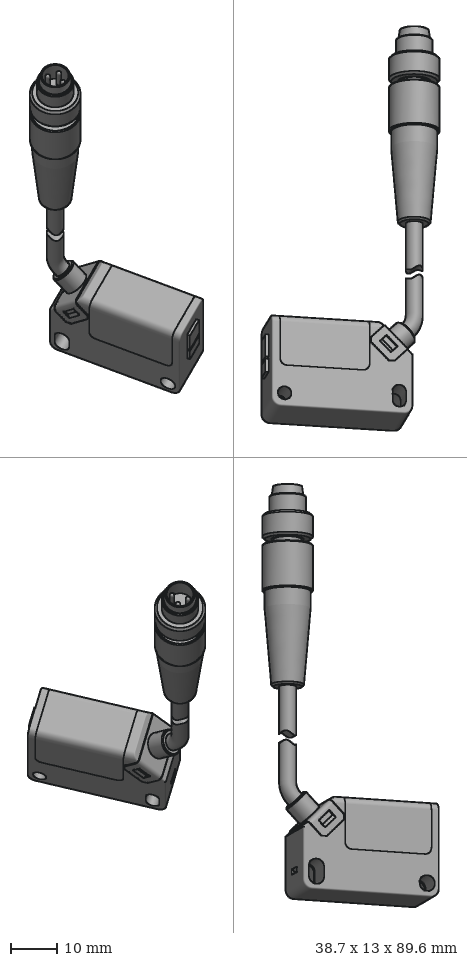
import cadquery as cq
import math


case_left = 1.5
case_length = 31.0
case_height = 21.0
case_width = 12.45
case_right = case_left + case_length
bottom_corner_radius = 2.0
top_edge_radius = 1.7
edge_radius = 0.4

wide_diameter = 3.5
narrow_diameter = 3.0
hole_x, hole_z = 29.7, 3.0
slot_x, slot_z = 4.5, 3.9
slot_spacing = 2.1

notch_width = 3.05
notch_height = 1.25
notch_depth = 0.7
notch_z = 5.0

pad_spans = [(8.9, 11.8), (12.4, 17.4)]
pad_width = 4.7
pad_rise = 0.67

cover_left, cover_right = 11.0, 30.7
cover_bottom = 9.3
cover_corner_radius = 1.5

outlet_angle = 45
outlet_height = 22.5
corner_cut_reach = 7.3
gland_reach = 7.1
gland_depth = 5.3
gland_span = 7.25
gland_width = 13.0
gland_inner_chamfer = 0.9
gland_edge_radius = 1.1
sleeve_diameter = 5.7
sleeve_length = 4.6
sleeve_tip_chamfer = 0.3
latch_length = 3.4
latch_height = 2.1
latch_ramp = 0.8
latch_depth = 0.45
latch_inset = 1.6

cable_diameter = 3.8
cable_bend_radius = 5.0
break_low, break_high = 32.9, 34.9
wave_crest, wave_trough = 0.5, -0.4

boot_bottom, boot_shoulder = 45.5, 62.7
grip_bottom, grip_top = 66.5, 76.8
nut_bottom, nut_top = 78.0, 83.5
thread_top = 87.5
plug_top = 89.6
boot_tip_diameter = 7.2
boot_chamfer = 0.45
boot_diameter = 10.0
grip_diameter = 11.0
grip_chamfer = 0.3
neck_diameter = 6.0
core_diameter = 7.0
mouth_diameter = 6.4
bore_diameter = 5.7
bore_floor = 84.6

nut_diameter = grip_diameter
nut_chamfer = 0.5
thread_diameter = 8.0
thread_chamfer = 0.3

pin_diameter = 1.1
pin_top = 88.8
pin_tip_radius = 0.53
pin_circle_radius = 1.8
pin_angles = [0, 90, 180]


def outlet_frame(reach):
    """Plane across the gland axis, `reach` below the plug axis; its normal points out along the axis."""
    slope = math.radians(outlet_angle)
    origin = (reach * math.cos(slope), 0, outlet_height - reach * math.sin(slope))
    return cq.Plane(origin=origin, xDir=(0, 1, 0), normal=(-math.cos(slope), 0, math.sin(slope)))


def xz_sketch():
    return cq.Workplane("XZ")


def through_y(sketch, width):
    """Extrude an XZ sketch symmetrically about the XZ plane."""
    return sketch.extrude(width / 2, both=True)


def revolve_profile(points):
    """Solid of revolution about Z from (radius, height) points."""
    return xz_sketch().polyline(points).close().revolve(360, (0, 0, 0), (0, 1, 0))


def make_case_envelope():
    """Outer shape of the case and cover together."""
    block = xz_sketch().rect(case_length, case_height, centered=False)
    body = through_y(block, case_width).translate((case_left, 0, 0))
    body = body.edges("|Y and <Z").fillet(bottom_corner_radius)
    body = body.edges("|X and >Z").fillet(top_edge_radius)
    corner = cq.Workplane(outlet_frame(corner_cut_reach)).rect(4 * case_width, 4 * case_width)
    body = body.cut(corner.extrude(case_height))
    return body.faces("<Y or >Y or >X").edges("not(#Y and #Z and (not <Z))").fillet(edge_radius)


def make_cover_block():
    outline = xz_sketch().rect(cover_right - cover_left, case_height - cover_bottom, centered=False)
    block = through_y(outline, case_width).translate((cover_left, 0, cover_bottom))
    return block.edges("|Y and <Z").fillet(cover_corner_radius)


def make_gland_block():
    block = cq.Workplane(outlet_frame(gland_reach)).rect(gland_width, gland_span).extrude(-gland_depth)
    inward = -outlet_frame(gland_reach).zDir
    inner_face = block.faces(cq.selectors.DirectionMinMaxSelector(inward, True))
    return inner_face.edges("|Y").chamfer(gland_inner_chamfer)


def mounting_outlines(diameter):
    """Outlines of the round hole and of the upright slot, both as wide as `diameter`."""
    hole = xz_sketch().center(hole_x, hole_z).circle(diameter / 2)
    return hole.center(slot_x - hole_x, slot_z - hole_z).slot2D(slot_spacing + diameter, diameter, 90)


def make_mounting_cuts():
    """Stepped hole and slot: wide from the -Y side to the middle of the case, narrow beyond it."""
    narrow = through_y(mounting_outlines(narrow_diameter), case_width)
    wide = mounting_outlines(wide_diameter).extrude(case_width / 2)
    return narrow.union(wide)


def make_notch():
    half = notch_height / 2
    outline = xz_sketch().polyline([(0, -half), (notch_depth, 0), (0, half)]).close()
    return through_y(outline, notch_width).translate((case_left, 0, notch_z))


def make_case():
    case = make_case_envelope().cut(make_gland_block()).cut(make_cover_block())
    case = case.cut(make_mounting_cuts()).cut(make_notch())
    for bottom, top in pad_spans:
        pad = cq.Workplane("XY").box(pad_rise, pad_width, top - bottom, centered=(False, True, False))
        case = case.union(pad.translate((case_right, 0, bottom)))
    return case


def make_cover():
    return make_case_envelope().intersect(make_cover_block())


def make_latch_recess(side):
    """Recess in one Y side of the gland block, with a steep outer wall and a ramp on the inner side."""
    out = outlet_frame(gland_reach)
    across = cq.Plane(origin=out.origin, xDir=out.xDir, normal=-out.yDir)
    outer = latch_inset
    inner = latch_inset + latch_height
    surface = gland_width / 2
    floor = surface - latch_depth
    profile = [
        (side * surface, -outer),
        (side * surface, -inner),
        (side * floor, -inner + latch_ramp),
        (side * floor, -outer),
    ]
    return cq.Workplane(across).polyline(profile).close().extrude(latch_length / 2, both=True)


def make_gland():
    out = outlet_frame(gland_reach)
    outermost = cq.selectors.DirectionMinMaxSelector(out.zDir, True)
    gland = make_gland_block().faces(outermost)
    gland = gland.edges(cq.selectors.ParallelDirSelector(out.yDir)).fillet(gland_edge_radius)
    for side in (-1, 1):
        gland = gland.cut(make_latch_recess(side))
    sleeve = cq.Workplane(out).circle(sleeve_diameter / 2).extrude(sleeve_length)
    sleeve = sleeve.faces(outermost).chamfer(sleeve_tip_chamfer)
    return gland.union(sleeve)


def make_break(height, rise):
    """Prism of the given rise whose lower face is the wavy break line at `height`."""
    r = cable_diameter / 2
    wave = [(-r, height), (-r / 3, height + wave_crest), (r / 2, height + wave_trough), (r, height)]
    outline = xz_sketch().moveTo(*wave[0]).spline(wave[1:], includeCurrent=True)
    outline = outline.lineTo(r, height + rise).lineTo(-r, height + rise).close()
    return through_y(outline, 2 * cable_diameter)


def make_lower_cable():
    """Cable from the sleeve tip, round the bend and up to the lower break."""
    tip_reach = gland_reach - sleeve_length
    half_turn = math.radians(outlet_angle) / 2
    tangent = cable_bend_radius * math.tan(half_turn)
    bend_top = outlet_height + tangent
    tip = outlet_frame(tip_reach).origin
    bend_end = outlet_frame(tangent).origin
    bend_middle = (
        cable_bend_radius * (1 - math.cos(half_turn)),
        bend_top - cable_bend_radius * math.sin(half_turn),
    )
    path = (
        xz_sketch()
        .moveTo(tip.x, tip.z)
        .lineTo(bend_end.x, bend_end.z)
        .threePointArc(bend_middle, (0, bend_top))
        .lineTo(0, break_high)
    )
    cable = cq.Workplane(outlet_frame(tip_reach)).circle(cable_diameter / 2).sweep(path)
    return cable.cut(make_break(break_low, cable_diameter))


def make_upper_cable():
    """Cable from the upper break to the boot."""
    cable = cq.Workplane("XY").workplane(offset=break_low).circle(cable_diameter / 2)
    cable = cable.extrude(boot_bottom - break_low)
    return cable.intersect(make_break(break_high, boot_bottom - break_high))


def make_plug():
    return revolve_profile([
        (0, boot_bottom),
        (boot_tip_diameter / 2 - boot_chamfer, boot_bottom),
        (boot_tip_diameter / 2, boot_bottom + boot_chamfer),
        (boot_diameter / 2, boot_shoulder),
        (boot_diameter / 2, grip_bottom),
        (grip_diameter / 2 - grip_chamfer, grip_bottom),
        (grip_diameter / 2, grip_bottom + grip_chamfer),
        (grip_diameter / 2, grip_top - grip_chamfer),
        (grip_diameter / 2 - grip_chamfer, grip_top),
        (neck_diameter / 2, grip_top),
        (neck_diameter / 2, nut_bottom),
        (core_diameter / 2, nut_bottom),
        (core_diameter / 2, thread_top),
        (mouth_diameter / 2, plug_top),
        (bore_diameter / 2, plug_top),
        (bore_diameter / 2, bore_floor),
        (0, bore_floor),
    ])


def make_nut():
    return revolve_profile([
        (core_diameter / 2, nut_bottom),
        (nut_diameter / 2 - nut_chamfer, nut_bottom),
        (nut_diameter / 2, nut_bottom + nut_chamfer),
        (nut_diameter / 2, nut_top - nut_chamfer),
        (nut_diameter / 2 - nut_chamfer, nut_top),
        (thread_diameter / 2, nut_top),
        (thread_diameter / 2, thread_top - thread_chamfer),
        (thread_diameter / 2 - thread_chamfer, thread_top),
        (core_diameter / 2, thread_top),
    ])


def make_pin(angle):
    """Round-tipped pin standing on the floor of the plug's bore."""
    pin = cq.Workplane("XY").circle(pin_diameter / 2).extrude(pin_top - bore_floor)
    pin = pin.faces(">Z").edges().fillet(pin_tip_radius)
    turn = math.radians(angle)
    return pin.translate((pin_circle_radius * math.cos(turn), pin_circle_radius * math.sin(turn), bore_floor))


case = make_case()
cover = make_cover()
gland = make_gland()
lower_cable = make_lower_cable()
upper_cable = make_upper_cable()
plug = make_plug()
nut = make_nut()
pins = [make_pin(angle) for angle in pin_angles]

result = cq.Compound.makeCompound(
    [body.val() for body in (case, cover, gland, lower_cable, upper_cable, plug, nut, *pins)]
)